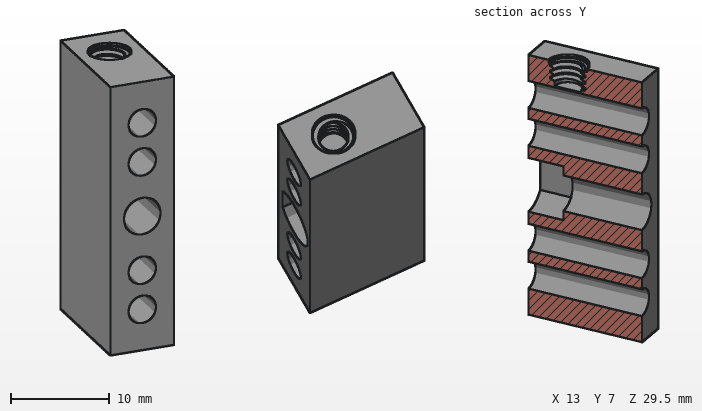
import cadquery as cq
LENGTH_X = 13.0
WIDTH_Y = 7.0
HEIGHT_Z = 29.5

BORE_DIAMETER = 4.0
SEAT_DIAMETER = 6.05
SEAT_DEPTH = 4.0
SEAT_FLAT_OFFSET = 2.5

CROSS_HOLE_DIAMETER = 3.0
INNER_HOLE_OFFSET = 5.95
OUTER_HOLE_OFFSET = 10.25

TAP_FROM_LEFT = 4.5
TAP_DEPTH = 2.8
TAP_MINOR_DIAMETER = 3.02
TAP_MAJOR_DIAMETER = 4.0

RECESS_DIAMETER = 4.42
RECESS_FLOOR_DIAMETER = 4.2
RECESS_WALL_DEPTH = 0.27
RECESS_DEPTH = 0.35

THREAD_PITCH = 0.7
THREAD_START_ANGLE = -68.0
THREAD_CREST_FLAT = 0.03
THREAD_ROOT_FLAT = THREAD_PITCH / 8
THREAD_OVERLAP = 0.05

LEFT_X = -LENGTH_X / 2
TOP_Z = HEIGHT_Z / 2
TAP_X = LEFT_X + TAP_FROM_LEFT


def cylinder_along_x(diameter, depth, z=0.0):
    """Cylinder that runs from the left face into the block."""
    return (
        cq.Workplane("YZ", origin=(LEFT_X, 0, z))
        .circle(diameter / 2)
        .extrude(depth)
    )


def flatted_seat():
    """Wide part of the bore, cut off by a flat on its +Y side."""
    radius = SEAT_DIAMETER / 2
    keep = (
        cq.Workplane("XY")
        .box(SEAT_DEPTH, radius + SEAT_FLAT_OFFSET, SEAT_DIAMETER, centered=(False, False, True))
        .translate((LEFT_X, -radius, 0))
    )
    return cylinder_along_x(SEAT_DIAMETER, SEAT_DEPTH).intersect(keep)


def thread_cutter():
    """Helical groove of the thread, from the hole floor up into the recess at the mouth."""
    inner = TAP_MINOR_DIAMETER / 2 - THREAD_OVERLAP
    outer = TAP_MAJOR_DIAMETER / 2
    inner_half = (THREAD_PITCH - THREAD_CREST_FLAT) / 2
    outer_half = THREAD_ROOT_FLAT / 2
    start_z = inner_half - TAP_DEPTH
    helix_height = inner_half - RECESS_DEPTH - start_z
    profile = (
        (inner, start_z - inner_half),
        (outer, start_z - outer_half),
        (outer, start_z + outer_half),
        (inner, start_z + inner_half),
    )
    helices = [
        cq.Wire.makeHelix(THREAD_PITCH, helix_height, radius, center=cq.Vector(0, 0, z))
        for radius, z in profile
    ]
    faces = [
        cq.Face.makeRuledSurface(helix, next_helix)
        for helix, next_helix in zip(helices, helices[1:] + helices[:1])
    ]
    start_corners = [helix.startPoint() for helix in helices]
    end_corners = [helix.endPoint() for helix in helices]
    for corners in (start_corners, end_corners):
        faces.append(cq.Face.makeFromWires(cq.Wire.makePolygon(corners, close=True)))
    groove = cq.Solid.makeSolid(cq.Shell.makeShell(faces))
    return (
        cq.Workplane(obj=groove)
        .rotate((0, 0, 0), (0, 0, 1), THREAD_START_ANGLE)
        .translate((TAP_X, 0, TOP_Z))
    )


def drilled_tap_hole():
    """Blind minor-diameter hole with a shallow recess at its mouth."""
    minor = TAP_MINOR_DIAMETER / 2
    recess = RECESS_DIAMETER / 2
    recess_floor = RECESS_FLOOR_DIAMETER / 2
    return (
        cq.Workplane("XZ")
        .lineTo(recess, 0)
        .lineTo(recess, -RECESS_WALL_DEPTH)
        .lineTo(recess_floor, -RECESS_DEPTH)
        .lineTo(minor, -RECESS_DEPTH)
        .lineTo(minor, -TAP_DEPTH)
        .lineTo(0, -TAP_DEPTH)
        .close()
        .revolve(360, (0, 0, 0), (0, 1, 0))
        .translate((TAP_X, 0, TOP_Z))
    )


block = cq.Workplane("XY").box(LENGTH_X, WIDTH_Y, HEIGHT_Z)
block = block.cut(cylinder_along_x(BORE_DIAMETER, LENGTH_X))
block = block.cut(flatted_seat())

for offset in (INNER_HOLE_OFFSET, OUTER_HOLE_OFFSET):
    for side in (-1, 1):
        block = block.cut(cylinder_along_x(CROSS_HOLE_DIAMETER, LENGTH_X, side * offset))

block = block.cut(drilled_tap_hole())
result = block.cut(thread_cutter()).solids()